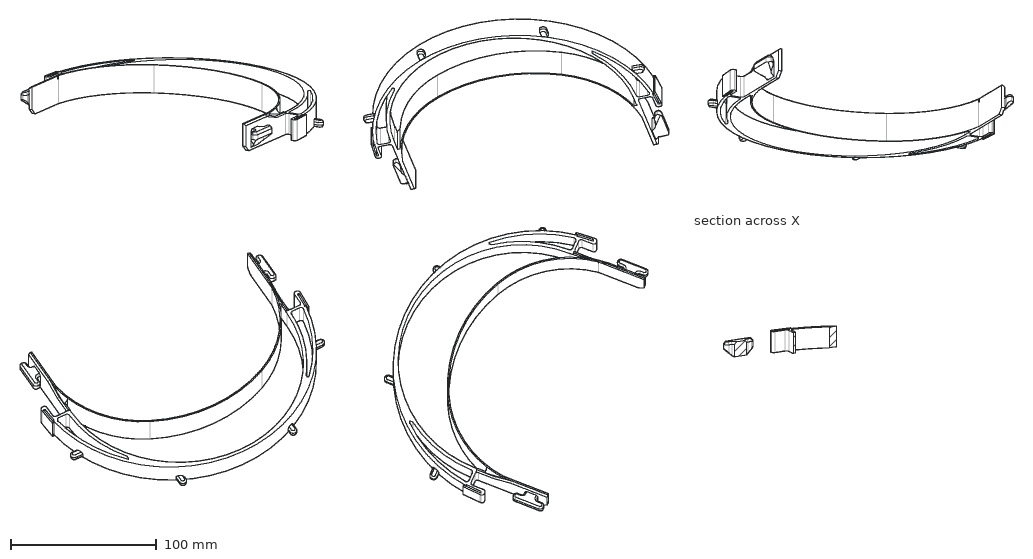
import cadquery as cq
import math


RING_HEIGHT = 15.0
OUTER_RADIUS = 100.5
INNER_RADIUS = 85.1
WALL = 2.5
INNER_CENTRE_Y = OUTER_RADIUS - WALL - INNER_RADIUS
ARM_INNER_X = INNER_RADIUS
ARM_OUTER_X = ARM_INNER_X + WALL
ARM_END_Y = -42.0
ARM_END_CHAMFER = 4.0
FULL_HEIGHT = 20.0
CROSSBAR_TOP_Y = 12.9
CROSSBAR_THICKNESS = 2.0
CROSSBAR_BOTTOM_Y = CROSSBAR_TOP_Y - CROSSBAR_THICKNESS
CROSSBAR_FILLET = 1.8
SLOT_TIP_X = 70.5
SLOT_TIP_FILLET = 0.6

BAND_THICKNESS = 1.0
BAND_FRONT_Y = 60.1
BAND_FRONT_RADIUS = 102.0
BAND_SIDE_RADIUS = 75.0
BAND_SIDE_REACH_X = ARM_INNER_X + 1.6
BAND_FRONT_CENTRE_Y = BAND_FRONT_Y - BAND_FRONT_RADIUS
SIDE_CENTRE_X = BAND_SIDE_REACH_X - BAND_SIDE_RADIUS
CENTRE_DISTANCE = BAND_FRONT_RADIUS - BAND_SIDE_RADIUS
BAND_JOINT_ANGLE = math.asin(SIDE_CENTRE_X / CENTRE_DISTANCE)
SIDE_CENTRE_Y = BAND_FRONT_CENTRE_Y + CENTRE_DISTANCE * math.cos(BAND_JOINT_ANGLE)
BAND_END_ANGLE = math.asin((ARM_INNER_X - SIDE_CENTRE_X) / (BAND_SIDE_RADIUS - BAND_THICKNESS))
BAND_END_Y = SIDE_CENTRE_Y + (BAND_SIDE_RADIUS - BAND_THICKNESS) * math.cos(BAND_END_ANGLE)

ARM_RIDGE_X = ARM_INNER_X + 1.1
LOW_RIDGE_RISE = 0.6
HIGH_BEVEL_DROP = 1.2
RAMP_START_Y = -2.0
RAMP_END_Y = -15.0

BLEND_RADIUS = FULL_HEIGHT - RING_HEIGHT - LOW_RIDGE_RISE
BLEND_START_Y = 4.8

CLIP_OUTER_X = 101.995
CLIP_INNER_X = 97.6
CLIP_TOP_Y = 15.0
CLIP_BOTTOM_Y = -0.7
CLIP_PLATE = 1.2
CLIP_LEAN = 0.9
CLIP_GAP = 1.2
CLIP_FLOOR = 2.7
CLIP_CORNER_RADIUS = 1.9
CLIP_MOUTH_Y = 13.3

HOOK_CENTRE_Y = -30.3
HOOK_HALF_LENGTH = 11.2
HOOK_OUTER_X = 95.6
HOOK_HEAD_THICKNESS = 5.1
HOOK_HEAD_ROUND = 2.4
HOOK_NECK_HALF_WIDTH = 4.8
HOOK_NECK_FILLET = 1.5
HOOK_TOP_Z = 14.8
HOOK_HEAD_BOTTOM_Z = 9.8
HOOK_CHAMFER_DROP = 1.8
HOOK_CHAMFER_INSET = 1.3

PEG_WIDTH = 5.2
PEG_HEIGHT = 5.0
PEG_BOTTOM_Z = 0.2
PEG_TOP_CHAMFER = 1.3
PEG_UNDER_CHAMFER_DROP = 1.7
PEG_UNDER_CHAMFER_INSET = 0.8
FRONT_PEG_X = 43.5
FRONT_PEG_TIP_Y = 97.0
SIDE_PEG_TIP_X = 99.8
SIDE_PEG_Y = 38.35

OVERLAP = 0.5


def box(x_range, y_range, z_range):
    size = [limits[1] - limits[0] for limits in (x_range, y_range, z_range)]
    corner = (x_range[0], y_range[0], z_range[0])
    return cq.Workplane("XY").box(*size, centered=False).translate(corner)


def disc(radius, centre_x, centre_y, height):
    return cq.Workplane("XY").center(centre_x, centre_y).circle(radius).extrude(height)


def ring_slot():
    """Tapering slot between the outer and inner walls, above the crossbar."""
    slot = disc(OUTER_RADIUS - WALL, 0, 0, RING_HEIGHT)
    slot = slot.cut(disc(INNER_RADIUS + WALL, 0, INNER_CENTRE_Y, RING_HEIGHT))
    slot_zone = box((SLOT_TIP_X, OUTER_RADIUS), (CROSSBAR_TOP_Y, OUTER_RADIUS), (0, RING_HEIGHT))
    slot = slot.intersect(slot_zone)
    slot = slot.edges("|Z").edges("<X or >Y").fillet(SLOT_TIP_FILLET)
    return slot.edges("|Z and (not <X)").edges("<Y").fillet(CROSSBAR_FILLET)


def ring_body():
    """Crescent between two eccentric circles, closed off at the underside of the crossbars."""
    heights = (0, RING_HEIGHT)
    opening = disc(INNER_RADIUS, 0, INNER_CENTRE_Y, RING_HEIGHT)
    straight_part = (CROSSBAR_BOTTOM_Y - OVERLAP, INNER_CENTRE_Y)
    opening = opening.union(box((-INNER_RADIUS, INNER_RADIUS), straight_part, heights))
    reach = (-OUTER_RADIUS, OUTER_RADIUS)
    ring = disc(OUTER_RADIUS, 0, 0, RING_HEIGHT)
    ring = ring.intersect(box(reach, (CROSSBAR_BOTTOM_Y, OUTER_RADIUS), heights))
    return ring.cut(opening)


def crossbar_fillets():
    """Fillets below the crossbar, against the arm and against the clip."""
    between = (ARM_OUTER_X, CLIP_INNER_X)
    heights = (0, RING_HEIGHT)
    fillet_end_y = CROSSBAR_BOTTOM_Y - CROSSBAR_FILLET
    corners = box(between, (fillet_end_y, CROSSBAR_BOTTOM_Y), heights)
    rounded_space = box(between, (fillet_end_y - CROSSBAR_FILLET, CROSSBAR_BOTTOM_Y), heights)
    return corners.cut(rounded_space.edges("|Z and >Y").fillet(CROSSBAR_FILLET))


def arm():
    """Straight arm with a bevelled top that ramps up from the half ring to full height."""
    def section(y, outer_z, ridge_z):
        outline = [
            (ARM_INNER_X, 0),
            (ARM_OUTER_X, 0),
            (ARM_OUTER_X, outer_z),
            (ARM_RIDGE_X, ridge_z),
            (ARM_INNER_X, ridge_z),
        ]
        return cq.Wire.makePolygon([cq.Vector(x, y, z) for x, z in outline], close=True)

    low = (RING_HEIGHT, RING_HEIGHT + LOW_RIDGE_RISE)
    high = (FULL_HEIGHT - HIGH_BEVEL_DROP, FULL_HEIGHT)
    sections = [
        section(CROSSBAR_BOTTOM_Y, *low),
        section(RAMP_START_Y, *low),
        section(RAMP_END_Y, *high),
        section(ARM_END_Y, *high),
    ]
    body = cq.Workplane(cq.Solid.makeLoft(sections, True))
    wall_beside_band = box((ARM_INNER_X, ARM_RIDGE_X), (RAMP_END_Y, BAND_END_Y), (0, FULL_HEIGHT))
    end_cut = (
        cq.Workplane("YZ")
        .polyline([(ARM_END_Y, 0), (ARM_END_Y + ARM_END_CHAMFER, 0), (ARM_END_Y, ARM_END_CHAMFER)])
        .close()
        .extrude(ARM_OUTER_X)
    )
    return body.union(wall_beside_band).cut(end_cut)


def band():
    """Forehead band: one front arc and two side arcs, ending inside the arms."""
    def front(inset, angle):
        radius = BAND_FRONT_RADIUS - inset
        return (radius * math.sin(angle), BAND_FRONT_CENTRE_Y + radius * math.cos(angle))

    def side(inset, angle, sign):
        radius = BAND_SIDE_RADIUS - inset
        x = SIDE_CENTRE_X + radius * math.sin(angle)
        return (sign * x, SIDE_CENTRE_Y + radius * math.cos(angle))

    middle = (BAND_JOINT_ANGLE + BAND_END_ANGLE) / 2
    inner = BAND_THICKNESS
    return (
        cq.Workplane("XY")
        .moveTo(*side(0, BAND_END_ANGLE, -1))
        .threePointArc(side(0, middle, -1), front(0, -BAND_JOINT_ANGLE))
        .threePointArc(front(0, 0), front(0, BAND_JOINT_ANGLE))
        .threePointArc(side(0, middle, 1), side(0, BAND_END_ANGLE, 1))
        .lineTo(*side(inner, BAND_END_ANGLE, 1))
        .threePointArc(side(inner, middle, 1), front(inner, BAND_JOINT_ANGLE))
        .threePointArc(front(inner, 0), front(inner, -BAND_JOINT_ANGLE))
        .threePointArc(side(inner, middle, -1), side(inner, BAND_END_ANGLE, -1))
        .close()
        .extrude(FULL_HEIGHT)
    )


def band_blend():
    """Concave fillet along the band's outer face, standing on the low part of the arm."""
    start_x = BAND_SIDE_RADIUS - BAND_THICKNESS / 2
    corner_x = BAND_SIDE_RADIUS + BLEND_RADIUS
    foot_z = FULL_HEIGHT - BLEND_RADIUS
    middle = BLEND_RADIUS * (1 - math.sqrt(0.5))
    sweep = (
        cq.Workplane("XZ")
        .moveTo(start_x, 0)
        .lineTo(corner_x, 0)
        .lineTo(corner_x, foot_z)
        .threePointArc((BAND_SIDE_RADIUS + middle, foot_z + middle), (BAND_SIDE_RADIUS, FULL_HEIGHT))
        .lineTo(start_x, FULL_HEIGHT)
        .close()
        .revolve(360, (0, 0, 0), (0, 1, 0))
        .translate((SIDE_CENTRE_X, SIDE_CENTRE_Y, 0))
    )
    return sweep.intersect(box((0, ARM_RIDGE_X), (BAND_END_Y, BLEND_START_Y), (0, FULL_HEIGHT)))


def clip_gap(top_y):
    """Leaning gap between the clip's wall and its outer plate, from its floor up to top_y."""
    floor_y = CLIP_BOTTOM_Y + CLIP_FLOOR
    outer_x = CLIP_OUTER_X - CLIP_PLATE
    top_outer_x = outer_x - CLIP_LEAN * (top_y - floor_y) / (CLIP_TOP_Y - floor_y)
    return (
        cq.Workplane("XY")
        .polyline([
            (outer_x, floor_y),
            (top_outer_x, top_y),
            (top_outer_x - CLIP_GAP, top_y),
            (outer_x - CLIP_GAP, floor_y),
        ])
        .close()
        .extrude(RING_HEIGHT)
    )


def strap_clip():
    """Narrow J-shaped clip with a leaning outer plate."""
    body = (
        cq.Workplane("XY")
        .polyline([
            (CLIP_INNER_X, CLIP_BOTTOM_Y),
            (CLIP_OUTER_X, CLIP_BOTTOM_Y),
            (CLIP_OUTER_X, CLIP_BOTTOM_Y + CLIP_FLOOR),
            (CLIP_OUTER_X - CLIP_LEAN, CLIP_TOP_Y),
            (CLIP_INNER_X, CLIP_TOP_Y),
        ])
        .close()
        .extrude(RING_HEIGHT)
        .edges("|Z and <Y")
        .fillet(CLIP_CORNER_RADIUS)
    )
    return body.cut(clip_gap(CLIP_TOP_Y))


def arm_hook():
    """T-shaped hook with a chamfered top; its underside slopes at 45 degrees into the arm."""
    head_inner_x = HOOK_OUTER_X - HOOK_HEAD_THICKNESS
    head = (
        cq.Workplane("XY")
        .center((head_inner_x + HOOK_OUTER_X) / 2, HOOK_CENTRE_Y)
        .rect(HOOK_HEAD_THICKNESS, 2 * HOOK_HALF_LENGTH)
        .extrude(HOOK_TOP_Z)
        .edges("|Z")
        .fillet(HOOK_HEAD_ROUND)
    )
    neck_side = (HOOK_CENTRE_Y - HOOK_NECK_HALF_WIDTH, HOOK_CENTRE_Y + HOOK_NECK_HALF_WIDTH)
    neck = box((ARM_OUTER_X - OVERLAP, head_inner_x + OVERLAP), neck_side, (0, HOOK_TOP_Z))
    hook = head.union(neck)
    corner = cq.selectors.BoxSelector(
        (head_inner_x - OVERLAP, neck_side[0] - OVERLAP, 0),
        (head_inner_x + OVERLAP, neck_side[1] + OVERLAP, HOOK_TOP_Z),
    )
    hook = hook.edges("|Z").edges(corner).fillet(HOOK_NECK_FILLET)
    hook = hook.faces(">Z").edges("not <X").chamfer(HOOK_CHAMFER_DROP, HOOK_CHAMFER_INSET)

    slope_foot_x = HOOK_OUTER_X - HOOK_HEAD_BOTTOM_Z
    side_profile = (
        cq.Workplane("XZ")
        .polyline([
            (slope_foot_x, 0),
            (HOOK_OUTER_X, HOOK_HEAD_BOTTOM_Z),
            (HOOK_OUTER_X, HOOK_TOP_Z),
            (slope_foot_x, HOOK_TOP_Z),
        ])
        .close()
        .extrude(HOOK_HALF_LENGTH, both=True)
        .translate((0, HOOK_CENTRE_Y, 0))
    )
    foot_half = HOOK_HALF_LENGTH - HOOK_HEAD_BOTTOM_Z
    neck_base_half = HOOK_NECK_HALF_WIDTH + HOOK_NECK_FILLET
    neck_base_z = neck_base_half - foot_half
    end_profile = (
        cq.Workplane("YZ")
        .polyline([
            (-neck_base_half, 0),
            (neck_base_half, 0),
            (neck_base_half, neck_base_z),
            (HOOK_HALF_LENGTH, HOOK_HEAD_BOTTOM_Z),
            (HOOK_HALF_LENGTH, HOOK_TOP_Z),
            (-HOOK_HALF_LENGTH, HOOK_TOP_Z),
            (-HOOK_HALF_LENGTH, HOOK_HEAD_BOTTOM_Z),
            (-neck_base_half, neck_base_z),
        ])
        .close()
        .extrude(HOOK_OUTER_X)
        .translate((0, HOOK_CENTRE_Y, 0))
    )
    return hook.intersect(side_profile).intersect(end_profile)


def peg(tip_x, tip_y, angle):
    """Round-ended peg reaching its tip in the given direction from inside the ring wall."""
    length = 3 * PEG_WIDTH
    body = (
        cq.Workplane("XY")
        .center(-length / 2, 0)
        .slot2D(length, PEG_WIDTH)
        .extrude(PEG_HEIGHT - PEG_BOTTOM_Z)
        .faces(">Z")
        .chamfer(PEG_TOP_CHAMFER)
        .faces("<Z")
        .chamfer(PEG_UNDER_CHAMFER_DROP, PEG_UNDER_CHAMFER_INSET)
        .rotate((0, 0, 0), (0, 0, 1), angle)
        .translate((tip_x, tip_y, PEG_BOTTOM_Z))
    )
    outside = disc(OUTER_RADIUS + 2 * length, 0, 0, PEG_HEIGHT)
    return body.intersect(outside.cut(disc(OUTER_RADIUS - OVERLAP, 0, 0, PEG_HEIGHT)))


def both_sides(feature):
    """The feature on the +X side together with its mirror image."""
    return (feature, feature.mirror("YZ"))


result = ring_body()
for feature in (ring_slot(), clip_gap(CLIP_MOUTH_Y)):
    for copy in both_sides(feature):
        result = result.cut(copy)

for feature in (arm(), crossbar_fillets(), strap_clip()):
    for copy in both_sides(feature):
        result = result.union(copy)

result = result.union(band())
front_peg = peg(FRONT_PEG_X, FRONT_PEG_TIP_Y, 90)
side_peg = peg(SIDE_PEG_TIP_X, SIDE_PEG_Y, 0)
for feature in (band_blend(), arm_hook(), front_peg, side_peg):
    for copy in both_sides(feature):
        result = result.union(copy)